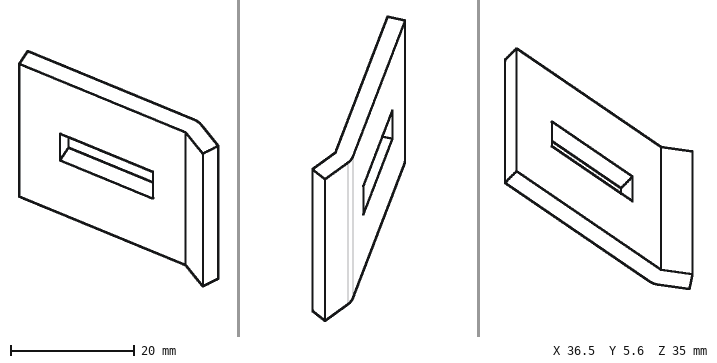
import cadquery as cq
import math

length = 36.5
height = 35.0
thickness = 3.0
depth = 5.6
bend_angle = math.radians(30)

window_start = 7.5
window_length = 17.0
window_height = 7.0

sin_bend = math.sin(bend_angle)
cos_bend = math.cos(bend_angle)
lip_length = (depth - thickness) / sin_bend
flat_length = length - lip_length * cos_bend - thickness * sin_bend


def around_bend(along_lip, angle):
    """Point on the outer side of the sheet at a given turn angle, moved along the lip."""
    return (
        flat_length + thickness * math.sin(angle) + along_lip * cos_bend,
        thickness * math.cos(angle) - along_lip * sin_bend,
    )


def bent_plate():
    """Flat plate with a bent lip; the inner face of the flat lies at Y = 0."""
    lip_tip = (flat_length + lip_length * cos_bend, -lip_length * sin_bend)
    return (
        cq.Workplane("XY")
        .moveTo(0, 0)
        .lineTo(0, thickness)
        .lineTo(flat_length, thickness)
        .threePointArc(around_bend(0, bend_angle / 2), around_bend(0, bend_angle))
        .lineTo(*around_bend(lip_length, bend_angle))
        .lineTo(*lip_tip)
        .lineTo(flat_length, 0)
        .close()
        .extrude(height / 2, both=True)
    )


def window():
    """Block that cuts the window, centred on the plate height."""
    return (
        cq.Workplane("XY")
        .box(window_length, thickness, window_height, centered=(False, False, True))
        .translate((window_start, 0, 0))
    )


result = bent_plate().cut(window())